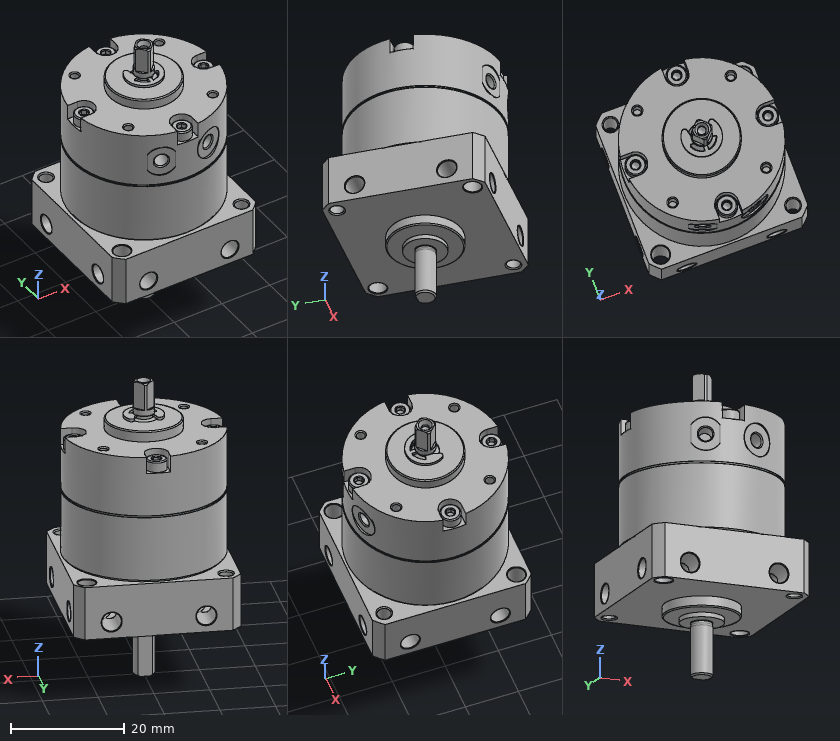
import cadquery as cq
import math

FLANGE_BOTTOM = 10.0
LOWER_BOSS_BOTTOM = 11.0
PLATE_BOTTOM = 12.95
PLATE_TOP = 22.85
CHAMFER_TOP = 23.3
GROOVE_BOTTOM = 35.15
GROOVE_TOP = 35.45
BODY_TOP = 46.5
UPPER_BOSS_TOP = 48.5
SHAFT_TOP = 55.5

PLATE_SIDE = 30.0
PLATE_CORNER_D = 40.05
BODY_D = 29.4
BODY_GROOVE_D = 29.2
BOSS_D = 14.0
BOSS_CHAMFER = 0.2
JOURNAL_D = 5.0

CORNER_HOLE_OFFSET = 12.5
CLEARANCE_HOLE_D = 3.2
TAPPED_HOLE_D = 2.5

SIDE_HOLE_OFFSET = 8.5
SIDE_HOLE_HEIGHT = 3.1
SIDE_HOLE_Z = PLATE_BOTTOM + SIDE_HOLE_HEIGHT
SIDE_HOLE_D = 3.5

SCREW_CIRCLE_R = 12.5
POCKET_WIDTH = 4.3
POCKET_DEPTH = 3.0
SCREW_HEAD_D = 3.8
SCREW_HEAD_H = 2.0
SCREW_HEAD_CHAMFER = 0.2
SOCKET_FLATS = 1.5
SOCKET_MOUTH_D = 1.9
SOCKET_DEPTH = 1.0
HEX_HALF_ANGLE = 30.0

TOP_HOLE_D = 1.55
TOP_HOLE_DEPTH = 3.0

PORT_ANGLE = 20.0
PORT_Z = 40.5
PORT_SPOTFACE_D = 6.1
LEFT_PORT_FACE_R = 14.5
RIGHT_PORT_FACE_R = 14.3
PORT_HOLE_D = 2.5
PORT_HOLE_DEPTH = 4.0

HOLE_CHAMFER = 0.2
LARGE_HOLE_CHAMFER = 0.14

END_GAP = 0.15
SHAFT_D = 4.0
UPPER_SHAFT_D = 3.8
JOURNAL_TAPER = 0.55
SHAFT_END_CHAMFER = 0.3
FLANGE_D = 8.0
FLANGE_TOP = LOWER_BOSS_BOTTOM - END_GAP
UNDERCUT_D = 3.85
UNDERCUT_TOP = 9.9
UNDERCUT_BOTTOM = 9.5
UNDERCUT_TAPER = 0.4
FLAT_DISTANCE = 1.5
SQUARE_BOTTOM = 50.5
SQUARE_FLATS = 3.0

CLIP_BOTTOM = UPPER_BOSS_TOP + END_GAP
CLIP_THICKNESS = 0.5
CLIP_TOP = CLIP_BOTTOM + CLIP_THICKNESS
CLIP_D = 7.3
CLIP_GROOVE_D = 3.2
CLIP_GROOVE_PLAY = 0.15
CLIP_GROOVE_TOP = CLIP_TOP + CLIP_GROOVE_PLAY
CLIP_TIP_R = 0.55
CLIP_TIP_Y = 1.8
CLIP_JAW_X = 1.7
CLIP_JAW_Y = 0.65
CLIP_RELIEF_R = 2.65
CLIP_RELIEF_TOP = -0.65
CLIP_RELIEF_CORNER_R = 0.3
CLIP_TAB_WIDTH = 0.7

CENTRE_MOUTH_D = 2.45
CENTRE_DRILL_D = 1.55
CENTRE_DRILL_DEPTH = 1.4

DRILL_TIP_SLOPE = math.tan(math.radians(30))


def disc(diameter, bottom, top):
    return cq.Workplane("XY").workplane(offset=bottom).circle(diameter / 2).extrude(top - bottom)


def cone(bottom_d, top_d, bottom, top):
    return cq.Workplane("XY").add(
        cq.Solid.makeCone(bottom_d / 2, top_d / 2, top - bottom, cq.Vector(0, 0, bottom))
    )


def chamfered_drill(diameter, depth, chamfer):
    """Flat-ended cutter going down from the origin, with a countersink at its mouth."""
    return disc(diameter, -depth, 0).union(cone(diameter, diameter + 2 * chamfer, -chamfer, 0))


def through_drill(diameter, length, chamfer):
    """Cutter centred on the origin along Z, with a countersink at both mouths."""
    half = chamfered_drill(diameter, length / 2, chamfer).translate((0, 0, length / 2))
    return half.union(half.mirror("XY"))


def around_axis(shape, angle):
    return shape.rotate((0, 0, 0), (0, 0, 1), angle)


def make_plate():
    height = PLATE_TOP - PLATE_BOTTOM
    middle = (PLATE_TOP + PLATE_BOTTOM) / 2
    plate = cq.Workplane("XY").box(PLATE_SIDE, PLATE_SIDE, height).translate((0, 0, middle))
    plate = plate.intersect(disc(PLATE_CORNER_D, PLATE_BOTTOM, PLATE_TOP))

    clearance = through_drill(CLEARANCE_HOLE_D, height, LARGE_HOLE_CHAMFER)
    tapped = through_drill(TAPPED_HOLE_D, height, HOLE_CHAMFER)
    for side in (-1, 1):
        offset = side * CORNER_HOLE_OFFSET
        plate = plate.cut(clearance.translate((offset, offset, middle)))
        plate = plate.cut(tapped.translate((offset, -offset, middle)))

    along_y = through_drill(SIDE_HOLE_D, PLATE_SIDE, LARGE_HOLE_CHAMFER).rotate((0, 0, 0), (1, 0, 0), 90)
    for side in (-1, 1):
        drill = along_y.translate((side * SIDE_HOLE_OFFSET, 0, SIDE_HOLE_Z))
        plate = plate.cut(drill).cut(around_axis(drill, 90))
    return plate


def make_boss(base, end):
    """Round boss from the housing face at `base`, chamfered at its free end."""
    free_end = ">Z" if end > base else "<Z"
    return disc(BOSS_D, min(base, end), max(base, end)).faces(free_end).edges().chamfer(BOSS_CHAMFER)


def make_body():
    relief_d = BODY_D - 2 * (CHAMFER_TOP - PLATE_TOP)
    body = cone(relief_d, BODY_D, PLATE_TOP, CHAMFER_TOP)
    body = body.union(disc(BODY_D, CHAMFER_TOP, GROOVE_BOTTOM))
    body = body.union(disc(BODY_GROOVE_D, GROOVE_BOTTOM, GROOVE_TOP))
    return body.union(disc(BODY_D, GROOVE_TOP, BODY_TOP))


def make_screw_pocket():
    """Pocket on the +X side, round around the screw and open to the outside."""
    floor = BODY_TOP - POCKET_DEPTH
    round_end = disc(POCKET_WIDTH, floor, BODY_TOP).translate((SCREW_CIRCLE_R, 0, 0))
    opening = (
        cq.Workplane("XY")
        .box(SCREW_CIRCLE_R, POCKET_WIDTH, POCKET_DEPTH, centered=(False, True, False))
        .translate((SCREW_CIRCLE_R, 0, floor))
    )
    return round_end.union(opening)


def make_screw_head():
    """Hexagon socket head on the +X side, with a drill-pointed socket."""
    floor = BODY_TOP - POCKET_DEPTH
    top = floor + SCREW_HEAD_H
    head = disc(SCREW_HEAD_D, floor, top).faces(">Z").edges().chamfer(SCREW_HEAD_CHAMFER)
    socket_bottom = top - SOCKET_DEPTH
    corner_d = SOCKET_FLATS / math.cos(math.radians(HEX_HALF_ANGLE))
    socket = cq.Workplane("XY").workplane(offset=socket_bottom).polygon(6, corner_d).extrude(SOCKET_DEPTH)
    tip_depth = SOCKET_FLATS / 2 * DRILL_TIP_SLOPE
    tip = cone(0, SOCKET_FLATS, socket_bottom - tip_depth, socket_bottom)
    countersink = cone(SOCKET_FLATS, SOCKET_MOUTH_D, top - (SOCKET_MOUTH_D - SOCKET_FLATS) / 2, top)
    head = head.cut(around_axis(socket, HEX_HALF_ANGLE)).cut(tip).cut(countersink)
    return head.translate((SCREW_CIRCLE_R, 0, 0))


def make_port(face_r, angle):
    """Cutter for a spot-faced port, turned by `angle` from the -Y direction."""
    spotface = disc(PORT_SPOTFACE_D, 0, BODY_D / 2)
    drill = chamfered_drill(PORT_HOLE_D, PORT_HOLE_DEPTH, HOLE_CHAMFER)
    port = spotface.union(drill).rotate((0, 0, 0), (1, 0, 0), 90)
    return around_axis(port.translate((0, -face_r, PORT_Z)), angle)


def make_housing():
    housing = make_plate().union(make_body())
    housing = housing.union(make_boss(PLATE_BOTTOM, LOWER_BOSS_BOTTOM))
    housing = housing.union(make_boss(BODY_TOP, UPPER_BOSS_TOP))
    housing = housing.cut(disc(JOURNAL_D, LOWER_BOSS_BOTTOM, UPPER_BOSS_TOP))

    top_hole = chamfered_drill(TOP_HOLE_D, TOP_HOLE_DEPTH, HOLE_CHAMFER)
    top_hole = top_hole.translate((SCREW_CIRCLE_R, 0, BODY_TOP))
    for quarter in range(4):
        angle = 90 * quarter
        housing = housing.cut(around_axis(make_screw_pocket(), angle))
        housing = housing.union(around_axis(make_screw_head(), angle))
        housing = housing.cut(around_axis(top_hole, angle + 45))

    housing = housing.cut(make_port(LEFT_PORT_FACE_R, -PORT_ANGLE))
    return housing.cut(make_port(RIGHT_PORT_FACE_R, PORT_ANGLE))


def make_clip():
    """E-shaped retaining clip, open toward +Y."""
    outer_r = CLIP_D / 2
    tip_centre_r = outer_r - CLIP_TIP_R
    tip_x = math.sqrt(tip_centre_r**2 - CLIP_TIP_Y**2)
    touch_x = tip_x * outer_r / tip_centre_r
    touch_y = CLIP_TIP_Y * outer_r / tip_centre_r
    tip_inner_x = tip_x - CLIP_TIP_R
    tip_top_y = CLIP_TIP_Y + CLIP_TIP_R
    clip = (
        cq.Workplane("XY")
        .workplane(offset=CLIP_BOTTOM)
        .moveTo(-touch_x, touch_y)
        .threePointArc((0, -outer_r), (touch_x, touch_y))
        .threePointArc((tip_x, tip_top_y), (tip_inner_x, CLIP_TIP_Y))
        .lineTo(CLIP_JAW_X, CLIP_JAW_Y)
        .lineTo(-CLIP_JAW_X, CLIP_JAW_Y)
        .lineTo(-tip_inner_x, CLIP_TIP_Y)
        .threePointArc((-tip_x, tip_top_y), (-touch_x, touch_y))
        .close()
        .extrude(CLIP_THICKNESS)
    )
    window_area = (
        cq.Workplane("XY")
        .box(2 * outer_r, outer_r, CLIP_THICKNESS, centered=(True, False, False))
        .translate((0, CLIP_RELIEF_TOP - outer_r, CLIP_BOTTOM))
    )
    tab = (
        cq.Workplane("XY")
        .box(CLIP_TAB_WIDTH, outer_r, CLIP_THICKNESS, centered=(True, False, False))
        .translate((0, -outer_r, CLIP_BOTTOM))
    )
    windows = disc(2 * CLIP_RELIEF_R, CLIP_BOTTOM, CLIP_TOP).intersect(window_area)
    windows = windows.edges("|Z").fillet(CLIP_RELIEF_CORNER_R).cut(tab)
    return clip.cut(windows)


def make_shaft():
    shaft_r = SHAFT_D / 2
    upper_r = UPPER_SHAFT_D / 2
    undercut_r = UNDERCUT_D / 2
    journal_r = JOURNAL_D / 2
    groove_r = CLIP_GROOVE_D / 2
    turned = [
        (0, 0),
        (shaft_r - SHAFT_END_CHAMFER, 0),
        (shaft_r, SHAFT_END_CHAMFER),
        (shaft_r, UNDERCUT_BOTTOM - UNDERCUT_TAPER),
        (undercut_r, UNDERCUT_BOTTOM),
        (undercut_r, UNDERCUT_TOP),
        (shaft_r, UNDERCUT_TOP),
        (shaft_r, FLANGE_BOTTOM),
        (FLANGE_D / 2, FLANGE_BOTTOM),
        (FLANGE_D / 2, FLANGE_TOP),
        (journal_r, FLANGE_TOP),
        (journal_r, CLIP_BOTTOM - JOURNAL_TAPER),
        (groove_r, CLIP_BOTTOM),
        (groove_r, CLIP_GROOVE_TOP),
        (upper_r, CLIP_GROOVE_TOP),
        (upper_r, SHAFT_TOP - SHAFT_END_CHAMFER),
        (upper_r - SHAFT_END_CHAMFER, SHAFT_TOP),
        (0, SHAFT_TOP),
    ]
    shaft = cq.Workplane("XZ").polyline(turned).close().revolve(360, (0, 0, 0), (0, 1, 0))

    flat = (
        cq.Workplane("XY")
        .box(SHAFT_D, SHAFT_D, FLANGE_BOTTOM, centered=(True, False, False))
        .translate((0, FLAT_DISTANCE, 0))
    )
    shaft = shaft.cut(flat)

    square_h = SHAFT_TOP - SQUARE_BOTTOM
    square = cq.Workplane("XY").workplane(offset=SQUARE_BOTTOM).rect(SQUARE_FLATS, SQUARE_FLATS)
    square = around_axis(square.extrude(square_h), 45)
    shaft = shaft.cut(disc(UPPER_SHAFT_D, SQUARE_BOTTOM, SHAFT_TOP).cut(square))

    mouth_bottom = SHAFT_TOP - (CENTRE_MOUTH_D - CENTRE_DRILL_D)
    drill_bottom = SHAFT_TOP - CENTRE_DRILL_DEPTH
    tip_depth = CENTRE_DRILL_D / 2 * DRILL_TIP_SLOPE
    shaft = shaft.cut(cone(CENTRE_DRILL_D, CENTRE_MOUTH_D, mouth_bottom, SHAFT_TOP))
    shaft = shaft.cut(disc(CENTRE_DRILL_D, drill_bottom, mouth_bottom))
    shaft = shaft.cut(cone(0, CENTRE_DRILL_D, drill_bottom - tip_depth, drill_bottom))

    return shaft.union(make_clip())


housing = make_housing()
shaft = make_shaft()
result = cq.Compound.makeCompound([housing.solids().val(), shaft.solids().val()])